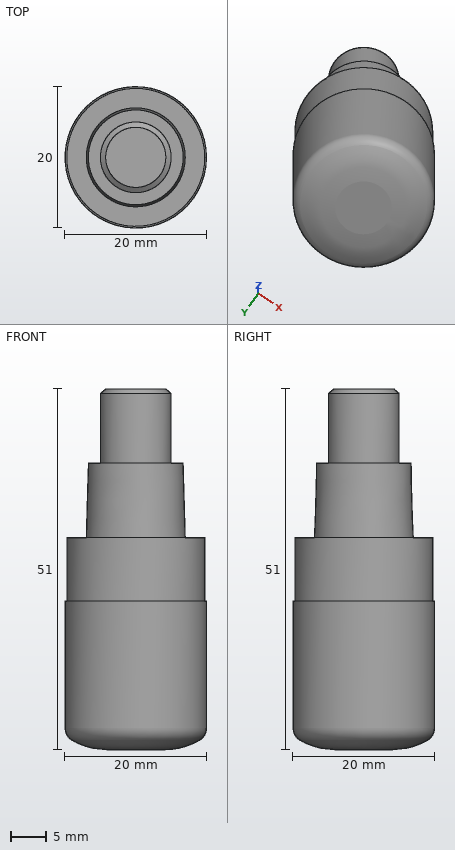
import cadquery as cq
import math

housing_diameter = 20.0
relief_diameter = 19.5
main_length = 21.0
relief_length = 9.0
housing_length = main_length + relief_length

flat_radius = 4.0
crown_radius = 10.0
corner_radius = 2.0

neck_base_diameter = 14.0
neck_top_diameter = 13.4
neck_length = 10.5
tip_diameter = 10.0
tip_length = 10.5
chamfer_width = 0.75
chamfer_height = 0.65


def revolve_about_z(half_profile):
    """Turn a closed half profile, drawn as (radius, height), around the Z axis."""
    return half_profile.close().revolve(360, (0, 0, 0), (0, 1, 0))


def arc_point(center, radius, angle):
    """Point on a circle, with the angle measured from straight down toward outside."""
    return (
        center[0] + radius * math.sin(angle),
        center[1] - radius * math.cos(angle),
    )


def make_housing():
    outer_radius = housing_diameter / 2
    relief_radius = relief_diameter / 2

    crown_center = (flat_radius, crown_radius)
    center_offset = outer_radius - corner_radius - flat_radius
    tangent_angle = math.asin(center_offset / (crown_radius - corner_radius))
    corner_center = arc_point(crown_center, crown_radius - corner_radius, tangent_angle)

    crown_middle = arc_point(crown_center, crown_radius, tangent_angle / 2)
    crown_end = arc_point(crown_center, crown_radius, tangent_angle)
    corner_middle_angle = (tangent_angle + math.pi / 2) / 2
    corner_middle = arc_point(corner_center, corner_radius, corner_middle_angle)
    corner_end = (outer_radius, corner_center[1])

    half_profile = (
        cq.Workplane("XZ")
        .lineTo(flat_radius, 0)
        .threePointArc(crown_middle, crown_end)
        .threePointArc(corner_middle, corner_end)
        .lineTo(outer_radius, main_length)
        .lineTo(relief_radius, main_length)
        .lineTo(relief_radius, housing_length)
        .lineTo(0, housing_length)
    )
    return revolve_about_z(half_profile)


def make_pin():
    neck_top = housing_length + neck_length
    tip_top = neck_top + tip_length
    tip_radius = tip_diameter / 2

    half_profile = (
        cq.Workplane("XZ")
        .moveTo(0, housing_length)
        .lineTo(neck_base_diameter / 2, housing_length)
        .lineTo(neck_top_diameter / 2, neck_top)
        .lineTo(tip_radius, neck_top)
        .lineTo(tip_radius, tip_top - chamfer_height)
        .lineTo(tip_radius - chamfer_width, tip_top)
        .lineTo(0, tip_top)
    )
    return revolve_about_z(half_profile)


housing = make_housing()
pin = make_pin()

result = cq.Compound.makeCompound([housing.val(), pin.val()])